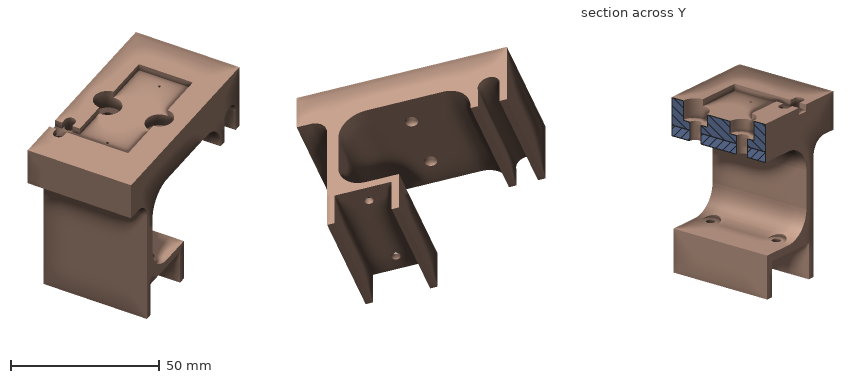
import cadquery as cq
import math

width = 40.0
length = 75.0
height = 64.1
half_width = width / 2
y_back = length / 2
y_front = -length / 2

rim_thickness = 3.15
insert_height = 10.0
insert_length = length - 2 * rim_thickness
insert_bottom = height - insert_height

plate_bottom = height - 14.0
leg_wall = 2.6
clip_slot_width = 7.7
clip_bore_diameter = 7.9
clip_bottom = height - 25.0
clip_slot_top = height - 12.45
web_thickness = 4.0
web_front = y_back - 64.1
web_back = web_front + web_thickness
shelf_top = height - 48.15
shelf_bottom = height - 51.0
channel_length = 25.65
inner_fillet = 10.0
outer_fillet = 6.0

mount_spacing = 19.95
mount_diameter = 4.5
mount_head_diameter = 10.0
mount_head_depth = 7.05

shelf_screw_spacing = 28.05
shelf_screw_diameter = 3.2
shelf_head_diameter = 7.0

pocket_width = 20.85
pocket_length = 44.85
pocket_depth = 2.55
pilot_diameter = 1.0
pilot_spacing = 35.85
pilot_depth = 3.0
outlet_width = 4.0
outlet_y = -pocket_length / 2 + outlet_width / 2
tie_hole_diameter = 4.0
tie_hole_x = -15.3

mount_points = [(-mount_spacing / 2, 0), (mount_spacing / 2, 0)]


def box(x_size, y_size, bottom, top, x=0.0, y=0.0):
    """Upright box centred on (x, y) between two heights."""
    return cq.Workplane("XY", origin=(x, y, bottom)).rect(x_size, y_size).extrude(top - bottom)


def cylinders(points, diameter, bottom, top):
    """Vertical cylinders at the given points between two heights."""
    return cq.Workplane("XY", origin=(0, 0, bottom)).pushPoints(points).circle(diameter / 2).extrude(top - bottom)


def bracket_profile():
    """Side outline in the YZ plane, including the rounded clip and the channel."""
    clip_outer = y_back - leg_wall
    clip_inner = clip_outer - clip_slot_width
    clip_front = clip_inner - leg_wall
    slot_middle = clip_outer - clip_slot_width / 2
    bore_radius = clip_bore_diameter / 2
    bore_drop = math.sqrt(bore_radius**2 - (clip_slot_width / 2) ** 2)
    slot_spring = clip_slot_top - bore_radius - bore_drop
    channel_back = web_front + channel_length
    return (
        cq.Workplane("YZ", origin=(-half_width, 0, 0))
        .moveTo(y_back, height)
        .lineTo(y_back, clip_bottom)
        .lineTo(clip_outer, clip_bottom)
        .lineTo(clip_outer, slot_spring)
        .threePointArc((slot_middle, clip_slot_top), (clip_inner, slot_spring))
        .lineTo(clip_inner, clip_bottom)
        .lineTo(clip_front, clip_bottom)
        .lineTo(clip_front, plate_bottom - inner_fillet)
        .radiusArc((clip_front - inner_fillet, plate_bottom), -inner_fillet)
        .lineTo(web_back + inner_fillet, plate_bottom)
        .radiusArc((web_back, plate_bottom - inner_fillet), -inner_fillet)
        .lineTo(web_back, shelf_top + inner_fillet)
        .radiusArc((web_back + inner_fillet, shelf_top), -inner_fillet)
        .lineTo(channel_back, shelf_top)
        .lineTo(channel_back, 0)
        .lineTo(channel_back - leg_wall, 0)
        .lineTo(channel_back - leg_wall, shelf_bottom)
        .lineTo(web_front + leg_wall, shelf_bottom)
        .lineTo(web_front + leg_wall, 0)
        .lineTo(web_front, 0)
        .lineTo(web_front, plate_bottom - outer_fillet)
        .radiusArc((web_front - outer_fillet, plate_bottom), -outer_fillet)
        .lineTo(y_front, plate_bottom)
        .lineTo(y_front, height)
        .close()
    )


def make_bracket():
    bracket = bracket_profile().extrude(width)
    bracket = bracket.cut(box(width, insert_length, insert_bottom, height))
    bracket = bracket.cut(cylinders(mount_points, mount_diameter, plate_bottom, insert_bottom))
    screw_y = web_front + channel_length / 2
    screw_points = [(side * shelf_screw_spacing / 2, screw_y) for side in (-1, 1)]
    bracket = bracket.cut(cylinders(screw_points, shelf_screw_diameter, shelf_bottom, shelf_top))
    return bracket.cut(
        cylinders(screw_points, shelf_head_diameter, shelf_top, shelf_top + inner_fillet)
    )


def cut_pocket(block):
    """Cut the pocket, its outlet and the pilot holes in its floor."""
    floor = height - pocket_depth
    block = block.cut(box(pocket_width, pocket_length, floor, height))
    block = block.cut(box(half_width, outlet_width, floor, height, -half_width / 2, outlet_y))
    pilot_points = [(0, side * pilot_spacing / 2) for side in (-1, 1)]
    return block.cut(cylinders(pilot_points, pilot_diameter, floor - pilot_depth, floor))


def cut_tie_holes(block):
    """Cut the round holes on both sides of the outlet and the slot joining them."""
    hole_offset = (outlet_width + tie_hole_diameter) / 2
    hole_points = [(tie_hole_x, outlet_y + side * hole_offset) for side in (-1, 1)]
    block = block.cut(cylinders(hole_points, tie_hole_diameter, insert_bottom, height))
    return block.cut(
        box(tie_hole_diameter, 2 * hole_offset, height - pocket_depth, height, tie_hole_x, outlet_y)
    )


def make_insert():
    block = box(width, insert_length, insert_bottom, height)
    block = cut_pocket(block)
    block = cut_tie_holes(block)
    block = block.cut(cylinders(mount_points, mount_head_diameter, height - mount_head_depth, height))
    return block.cut(cylinders(mount_points, mount_diameter, insert_bottom, height))


bracket = make_bracket()
insert = make_insert()

result = cq.Compound.makeCompound([bracket.val(), insert.val()])